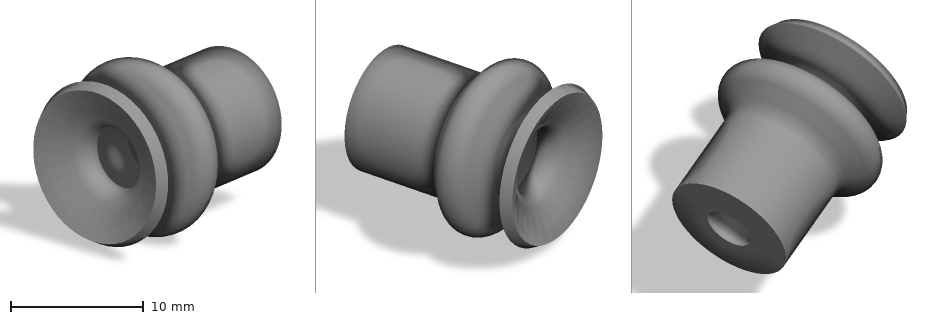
import cadquery as cq
import math

length = 16.0
sleeve_radius = 5.0
bore_radius = 1.89

lip_radius = 6.03
rim_radius = 6.5
rim_y = 0.86

waist_y = 2.8
waist_radius = 3.5
waist_front_y = 2.37
waist_front_radius = 3.73
waist_back_y = 3.22
waist_back_radius = 3.65

crest_y = 5.6
crest_radius = 7.0
bulge_front_y = 4.24
bulge_front_radius = 6.05
bulge_back_y = 6.75
bulge_back_radius = 6.4
shoulder_y = 7.5
shoulder_radius = 5.55
sleeve_start_y = 8.69

throat_radius = 2.48
throat_round = 1.54
flare_angle = math.radians(61)
throat_front_length = throat_round * math.sin(flare_angle)
throat_mouth_radius = throat_radius + throat_round * (1 - math.cos(flare_angle))
throat_back_round = 1.36
throat_back_length = throat_back_round * math.sin(flare_angle)
throat_back_radius = throat_radius + throat_back_round * (1 - math.cos(flare_angle))
cavity_radius = 5.12
cavity_flare_length = (cavity_radius - throat_back_radius) / math.tan(flare_angle)
cavity_front_y = waist_y + throat_back_length + cavity_flare_length
cavity_taper_y = 5.6
cavity_back_y = 6.8
cavity_back_radius = 2.48


def arc_middle(start, end, radius, side):
    """Point halfway along a minor arc; side is +1 for left of the chord, -1 for right."""
    dx = end[0] - start[0]
    dy = end[1] - start[1]
    chord = math.hypot(dx, dy)
    rise = radius - math.sqrt(radius**2 - (chord / 2) ** 2)
    return (
        (start[0] + end[0]) / 2 - side * rise * dy / chord,
        (start[1] + end[1]) / 2 + side * rise * dx / chord,
    )


def tangent_radius(start, end):
    """Radius of an arc through both points that runs parallel to Y at the start."""
    dx = end[0] - start[0]
    dy = end[1] - start[1]
    return (dx**2 + dy**2) / (2 * abs(dx))


def arc_from_axial(profile, vertex, end, side, to_vertex=False):
    """Add an arc between end and vertex, where the arc is parallel to Y at the vertex."""
    middle = arc_middle(vertex, end, tangent_radius(vertex, end), side)
    return profile.threePointArc(middle, vertex if to_vertex else end)


def make_body():
    """Solid of revolution with the outer outline, in (radius, Y) coordinates."""
    waist = (waist_radius, waist_y)
    crest = (crest_radius, crest_y)
    profile = (
        cq.Workplane("XY")
        .moveTo(0, 0)
        .lineTo(lip_radius, 0)
        .lineTo(rim_radius, rim_y)
        .lineTo(waist_front_radius, waist_front_y)
    )
    profile = arc_from_axial(profile, waist, (waist_front_radius, waist_front_y), -1, True)
    profile = arc_from_axial(profile, waist, (waist_back_radius, waist_back_y), 1)
    profile = profile.lineTo(bulge_front_radius, bulge_front_y)
    profile = arc_from_axial(profile, crest, (bulge_front_radius, bulge_front_y), 1, True)
    profile = arc_from_axial(profile, crest, (bulge_back_radius, bulge_back_y), -1)
    profile = profile.lineTo(shoulder_radius, shoulder_y)
    sleeve_start = (sleeve_radius, sleeve_start_y)
    profile = arc_from_axial(profile, sleeve_start, (shoulder_radius, shoulder_y), -1, True)
    profile = profile.lineTo(sleeve_radius, length).lineTo(0, length).close()
    return profile.revolve(360, (0, 0), (0, 1))


def make_hollow():
    """Cup cone, throat, cavity and bore as one solid of revolution."""
    throat = (throat_radius, waist_y)
    throat_front = (throat_mouth_radius, waist_y - throat_front_length)
    throat_back = (throat_back_radius, waist_y + throat_back_length)
    profile = cq.Workplane("XY").moveTo(0, 0).lineTo(lip_radius, 0).lineTo(*throat_front)
    profile = arc_from_axial(profile, throat, throat_front, -1, True)
    profile = arc_from_axial(profile, throat, throat_back, 1)
    return (
        profile
        .lineTo(cavity_radius, cavity_front_y)
        .lineTo(cavity_radius, cavity_taper_y)
        .lineTo(cavity_back_radius, cavity_back_y)
        .lineTo(bore_radius, cavity_back_y)
        .lineTo(bore_radius, length)
        .lineTo(0, length)
        .close()
        .revolve(360, (0, 0), (0, 1))
    )


result = make_body().cut(make_hollow())